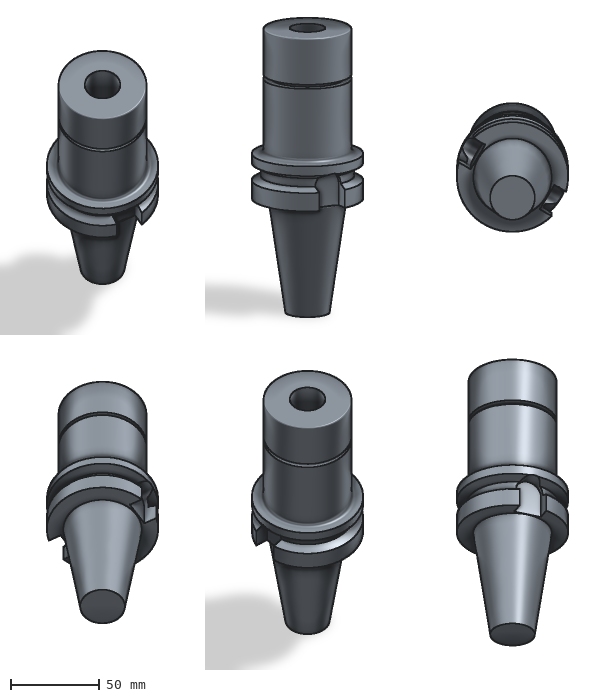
import cadquery as cq

total_height = 165.4
taper_length = 65.3
taper_ratio = 7 / 24
gauge_radius = 22.2
gauge_land = 1.0
tip_radius = gauge_radius - taper_length * taper_ratio / 2

flange_radius = 31.51
groove_radius = 26.5
lower_rim_height = 10.6
groove_cone_height = 2.5
groove_floor_height = 5.0
upper_rim_height = 5.6
flange_bottom = taper_length + gauge_land
lower_rim_top = flange_bottom + lower_rim_height
groove_floor_bottom = lower_rim_top + groove_cone_height
groove_floor_top = groove_floor_bottom + groove_floor_height
upper_rim_bottom = groove_floor_top + groove_cone_height
flange_top = upper_rim_bottom + upper_rim_height

body_radius = 25.0
body_fillet = 3.0
nut_height = 27.0
nut_edge = 1.0
neck_radius = 20.3
neck_height = 2.5
nut_bottom = total_height - nut_height
neck_bottom = nut_bottom - neck_height

bore_diameter = 20.0
bore_depth = 49.6

slot_width = 16.2
slot_floor = 22.7
slot_arc_center = 79.2


def revolved_body():
    """Shank, flange, body and nut as one turned profile in the XZ plane."""
    profile = (
        cq.Workplane("XZ")
        .lineTo(tip_radius, 0)
        .lineTo(gauge_radius, taper_length)
        .lineTo(gauge_radius, flange_bottom)
        .lineTo(flange_radius, flange_bottom)
        .lineTo(flange_radius, lower_rim_top)
        .lineTo(groove_radius, groove_floor_bottom)
        .lineTo(groove_radius, groove_floor_top)
        .lineTo(flange_radius, upper_rim_bottom)
        .lineTo(flange_radius, flange_top)
        .lineTo(body_radius + body_fillet, flange_top)
        .radiusArc((body_radius, flange_top + body_fillet), body_fillet)
        .lineTo(body_radius, neck_bottom)
        .lineTo(neck_radius, neck_bottom)
        .lineTo(neck_radius, nut_bottom)
        .lineTo(body_radius, nut_bottom)
        .lineTo(body_radius, total_height - nut_edge)
        .radiusArc((body_radius - nut_edge, total_height), -nut_edge)
        .lineTo(0, total_height)
        .close()
    )
    return profile.revolve(360, (0, 0, 0), (0, 1, 0))


def drive_slot(side):
    """Round-topped slot cutter on the +X (side = 1) or -X (side = -1) flank."""
    half_width = slot_width / 2
    return (
        cq.Workplane("YZ", origin=(side * slot_floor, 0, 0))
        .moveTo(-half_width, flange_bottom)
        .lineTo(half_width, flange_bottom)
        .lineTo(half_width, slot_arc_center)
        .threePointArc((0, slot_arc_center + half_width), (-half_width, slot_arc_center))
        .close()
        .extrude(side * flange_radius)
    )


result = revolved_body()
result = result.faces(">Z").workplane().hole(bore_diameter, bore_depth)
for flank in (-1, 1):
    result = result.cut(drive_slot(flank))